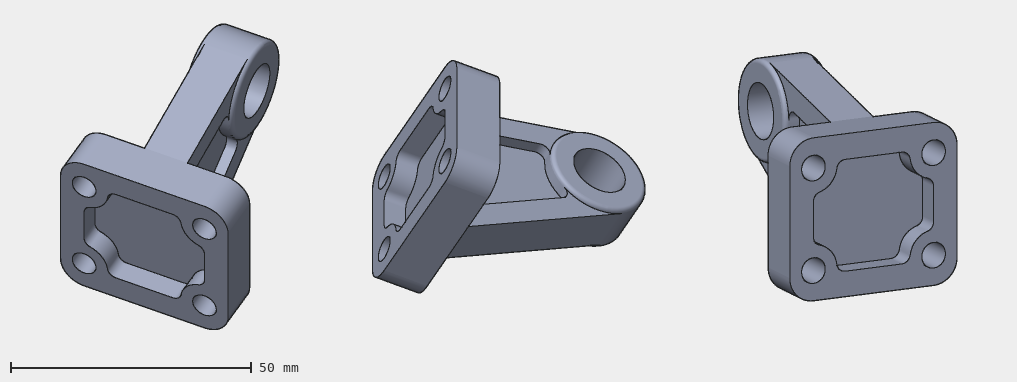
import cadquery as cq
import math

plate_width = 39.0
plate_height = 35.0
plate_thickness = 10.0
corner_radius = 5.5

hole_diameter = 5.5
hole_spacing_x = 28.0
hole_spacing_z = 22.0

relief_margin = 5.5
relief_depth = 5.0
relief_lobe_radius = 5.5
relief_fillet = 2.0

eye_radius = 11.0
eye_width = 12.0
eye_bore_diameter = 12.0
eye_edge_fillet = 1.0
eye_y = 40.0
eye_z = 13.0

web_thickness = 10.0
web_rim = 5.5
web_pocket_depth = 2.5
web_pocket_fillet = 2.0


def tangent_angle(y, z, side):
    """Angle of the eye radius that meets the tangent line from (y, z); side is +1 upper, -1 lower."""
    distance = math.hypot(y - eye_y, z - eye_z)
    direction = math.atan2(z - eye_z, y - eye_y)
    return direction - side * math.acos(eye_radius / distance)


upper_angle = tangent_angle(plate_thickness, plate_height / 2, 1)
lower_angle = tangent_angle(plate_thickness, -plate_height / 2, -1)


def point_on_eye(radius, angle):
    return (eye_y + radius * math.cos(angle), eye_z + radius * math.sin(angle))


def cylinder_x(radius, length):
    """Cylinder on the eye axis, centred on x = 0."""
    start = cq.Workplane("YZ").workplane(offset=-length / 2)
    return start.center(eye_y, eye_z).circle(radius).extrude(length)


def block_on_front(width, height, depth):
    """Block reaching back from the front face, y = 0 to y = depth."""
    return cq.Workplane("XZ").rect(width, height).extrude(-depth)


def cylinders_at_holes(radius, depth):
    """Four cylinders on the mounting hole axes, from the front face back to y = depth."""
    return (
        cq.Workplane("XZ")
        .rect(hole_spacing_x, hole_spacing_z, forConstruction=True)
        .vertices()
        .circle(radius)
        .extrude(-depth)
    )


def make_relief():
    """Rectangular pocket that steps around the four hole bosses."""
    relief = block_on_front(plate_width - 2 * relief_margin, plate_height - 2 * relief_margin, relief_depth)
    relief = relief.cut(cylinders_at_holes(relief_lobe_radius, relief_depth))
    return relief.edges("|Y").fillet(relief_fillet)


def make_plate():
    plate = block_on_front(plate_width, plate_height, plate_thickness)
    plate = plate.edges("|Y").fillet(corner_radius)
    plate = plate.cut(cylinders_at_holes(hole_diameter / 2, plate_thickness))
    return plate.cut(make_relief())


def tapered_prism(inset, thickness):
    """Four-sided prism behind the plate, its sloping sides parallel to the eye tangents and inset from them."""
    upper_z = plate_height / 2 - inset / math.sin(upper_angle)
    lower_z = -plate_height / 2 - inset / math.sin(lower_angle)
    outline = [
        (plate_thickness, lower_z),
        (plate_thickness, upper_z),
        point_on_eye(eye_radius - inset, upper_angle),
        point_on_eye(eye_radius - inset, lower_angle),
    ]
    start = cq.Workplane("YZ").workplane(offset=-thickness / 2)
    return start.polyline(outline).close().extrude(thickness)


def make_web():
    web = tapered_prism(0, web_thickness).union(cylinder_x(eye_radius, web_thickness))
    pocket = tapered_prism(web_rim, web_pocket_depth).cut(cylinder_x(eye_radius, web_pocket_depth))
    pocket = pocket.edges("|X").fillet(web_pocket_fillet)
    pocket_offset = (web_thickness - web_pocket_depth) / 2
    for side in (-1, 1):
        web = web.cut(pocket.translate((side * pocket_offset, 0, 0)))
    return web


def make_eye():
    return cylinder_x(eye_radius, eye_width).faces("<X or >X").edges().fillet(eye_edge_fillet)


eye_bore = cylinder_x(eye_bore_diameter / 2, eye_width)
result = make_plate().union(make_web()).union(make_eye()).cut(eye_bore)